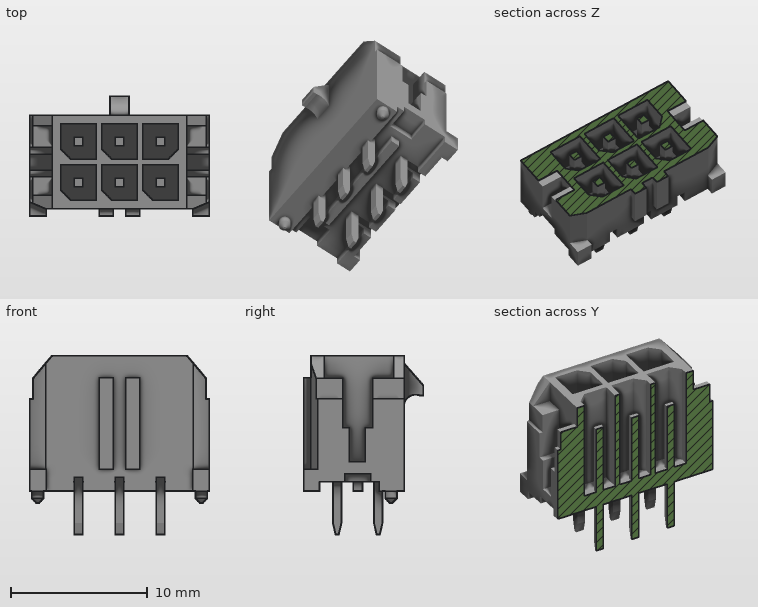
import cadquery as cq

OVERALL_WIDTH = 13.15
OVERALL_DEPTH = 8.77
OVERALL_HEIGHT = 13.09
HEIGHT = 9.91
DEPTH = 6.84
HALF_WIDTH = OVERALL_WIDTH / 2
SHOULDER_HALF_WIDTH = 6.325
SHOULDER_Z = 6.735
CORE_HALF_WIDTH = 4.93
CHEEK_TOP_Z = 8.255

BEVEL_FLAT_HALF_WIDTH = 5.40
BEVEL_DEPTH = 0.49

FRONT_PROJECTION = 0.535
LUG_INNER_X = 5.35
LUG_HEIGHT = 1.6
RIB_WIDTH = 1.03
RIB_CENTRE_X = 0.97
RIB_TOP_Z = 8.3

END_POCKET_Y = (0.98, 6.06)
WIDE_SLOT_Y = (2.335, 4.51)
WIDE_SLOT_FLOOR_Z = 4.62
NARROW_SLOT_Y = (2.82, 3.985)
NARROW_SLOT_FLOOR_Z = 2.13

LATCH_WIDTH = 1.42
LATCH_REACH = OVERALL_DEPTH - DEPTH - FRONT_PROJECTION
LATCH_TOP_Z = 9.32
LATCH_NOSE_TOP_Z = 7.72
LATCH_NOSE_BOTTOM_Z = 6.99
LATCH_ROOT_Z = 6.45
LATCH_FLAT = 0.28
LATCH_ARC_SPAN = 0.59

PITCH = 3.0
COLUMNS_X = (-PITCH, 0, PITCH)
FRONT_ROW_Y = 1.925
ROWS_Y = (FRONT_ROW_Y, FRONT_ROW_Y + PITCH)
CAVITY_SIZE = 2.58
CAVITY_CHAMFER = 0.72
CAVITY_FLOOR_Z = 2.0
PIN_SIZE = 0.64
PIN_TOP_Z = 7.5
PIN_TIP_Z = HEIGHT - OVERALL_HEIGHT
PIN_TAPER_Z = -2.33
PIN_TIP_DEPTH = 0.24

UNDERSIDE_Y = (0.64, 5.0)
UNDERSIDE_CEILING_Z = 0.68
END_NOTCH_Y = (2.48, 4.37)
END_NOTCH_TOP_Z = 1.27
CENTRE_RIB_Y = (3.1, 3.79)
CENTRE_RIB_HALF_LENGTH = PITCH + CAVITY_SIZE / 2
PIN_SLOT_TOP_Z = 1.02

PEG_X = 5.98
PEG_Y = 5.87
PEG_RADIUS = 0.44
PEG_TIP_RADIUS = 0.1
PEG_SHOULDER_Z = -0.52
PEG_TIP_Z = -0.87


def box(x_range, y_range, z_range):
    """Box between two limits along each axis."""
    limits = (x_range, y_range, z_range)
    sizes = [high - low for low, high in limits]
    corner = tuple(low for low, high in limits)
    return cq.Workplane("XY").box(*sizes, centered=False).translate(corner)


def centred(middle, size):
    """Limits of a length centred on a position."""
    return (middle - size / 2, middle + size / 2)


def both_ends(shape):
    """The shape together with its mirror image on the other end of the part."""
    return shape.union(shape.mirror("YZ"))


def make_body():
    half_outline = [
        (0, 0),
        (HALF_WIDTH, 0),
        (HALF_WIDTH, SHOULDER_Z),
        (SHOULDER_HALF_WIDTH, SHOULDER_Z),
        (SHOULDER_HALF_WIDTH, CHEEK_TOP_Z),
        (CORE_HALF_WIDTH, HEIGHT),
        (0, HEIGHT),
    ]
    half = cq.Workplane("XZ").polyline(half_outline).close().extrude(-DEPTH)
    return both_ends(half)


def make_bevels():
    """Wedges removed from the front vertical edges above the lugs."""
    corner = [
        (BEVEL_FLAT_HALF_WIDTH, 0),
        (HALF_WIDTH, 0),
        (HALF_WIDTH, BEVEL_DEPTH),
    ]
    wedge = cq.Workplane("XY").workplane(offset=LUG_HEIGHT).polyline(corner).close()
    return both_ends(wedge.extrude(HEIGHT - LUG_HEIGHT))


def make_end_channels():
    """Pocket, wide slot and narrow slot, cut from the end faces in to the core."""
    levels = (
        (END_POCKET_Y, CHEEK_TOP_Z),
        (WIDE_SLOT_Y, WIDE_SLOT_FLOOR_Z),
        (NARROW_SLOT_Y, NARROW_SLOT_FLOOR_Z),
    )
    channel = cq.Workplane("XY")
    for y_range, floor_z in levels:
        channel = channel.union(box((CORE_HALF_WIDTH, HALF_WIDTH), y_range, (floor_z, HEIGHT)))
    return both_ends(channel)


def make_front_details():
    """Corner lugs and the pair of polarising ribs."""
    front = (-FRONT_PROJECTION, 0)
    lug = box((LUG_INNER_X, HALF_WIDTH), front, (0, LUG_HEIGHT))
    rib = box(centred(RIB_CENTRE_X, RIB_WIDTH), front, (LUG_HEIGHT, RIB_TOP_Z))
    return both_ends(lug.union(rib))


def make_latch():
    nose_y = DEPTH + LATCH_REACH
    arc_start_y = nose_y - LATCH_FLAT
    arc_point = (arc_start_y - LATCH_ARC_SPAN, LATCH_NOSE_BOTTOM_Z)
    return (
        cq.Workplane("YZ")
        .moveTo(DEPTH, LATCH_TOP_Z)
        .lineTo(nose_y, LATCH_NOSE_TOP_Z)
        .lineTo(nose_y, LATCH_NOSE_BOTTOM_Z)
        .lineTo(arc_start_y, LATCH_NOSE_BOTTOM_Z)
        .threePointArc(arc_point, (DEPTH, LATCH_ROOT_Z))
        .close()
        .extrude(LATCH_WIDTH / 2, both=True)
    )


def make_cavity(x, y):
    """Square cavity with one chamfered front corner: right in the back right cavity, else left."""
    keyed_right = (x, y) == (COLUMNS_X[-1], ROWS_Y[-1])
    side = ">X" if keyed_right else "<X"
    cavity = box(centred(x, CAVITY_SIZE), centred(y, CAVITY_SIZE), (CAVITY_FLOOR_Z, HEIGHT))
    return cavity.faces(side).edges("|Z").edges("<Y").chamfer(CAVITY_CHAMFER)


def make_pin(x, y):
    """Square pin whose tail narrows along Y only."""
    outline = [
        (y - PIN_SIZE / 2, PIN_TOP_Z),
        (y - PIN_SIZE / 2, PIN_TAPER_Z),
        (y - PIN_TIP_DEPTH / 2, PIN_TIP_Z),
        (y + PIN_TIP_DEPTH / 2, PIN_TIP_Z),
        (y + PIN_SIZE / 2, PIN_TAPER_Z),
        (y + PIN_SIZE / 2, PIN_TOP_Z),
    ]
    pin = cq.Workplane("YZ").polyline(outline).close().extrude(PIN_SIZE / 2, both=True)
    return pin.translate((x, 0, 0))


def make_underside_recess():
    """Tunnel along X under the housing, split by a rib, with end notches and pin slots."""
    tunnel = box((-HALF_WIDTH, HALF_WIDTH), UNDERSIDE_Y, (0, UNDERSIDE_CEILING_Z))
    rib_x = (-CENTRE_RIB_HALF_LENGTH, CENTRE_RIB_HALF_LENGTH)
    rib = box(rib_x, CENTRE_RIB_Y, (0, UNDERSIDE_CEILING_Z))
    notch = box((CORE_HALF_WIDTH, HALF_WIDTH), END_NOTCH_Y, (0, END_NOTCH_TOP_Z))
    recess = tunnel.cut(rib).union(both_ends(notch))
    for x in COLUMNS_X:
        slot = box(centred(x, PIN_SIZE), (0, FRONT_ROW_Y), (0, PIN_SLOT_TOP_Z))
        recess = recess.union(slot)
    return recess


def make_pegs():
    half_section = [
        (0, 0),
        (PEG_RADIUS, 0),
        (PEG_RADIUS, PEG_SHOULDER_Z),
        (PEG_TIP_RADIUS, PEG_TIP_Z),
        (0, PEG_TIP_Z),
    ]
    peg = cq.Workplane("XZ").polyline(half_section).close().revolve(360, (0, 0), (0, 1))
    return both_ends(peg.translate((PEG_X, PEG_Y, 0)))


housing = make_body().cut(make_bevels()).cut(make_end_channels())
housing = housing.union(make_front_details()).union(make_latch()).union(make_pegs())
housing = housing.cut(make_underside_recess())

contact_positions = [(x, y) for x in COLUMNS_X for y in ROWS_Y]
for position in contact_positions:
    housing = housing.cut(make_cavity(*position))
for position in contact_positions:
    housing = housing.union(make_pin(*position))

result = housing